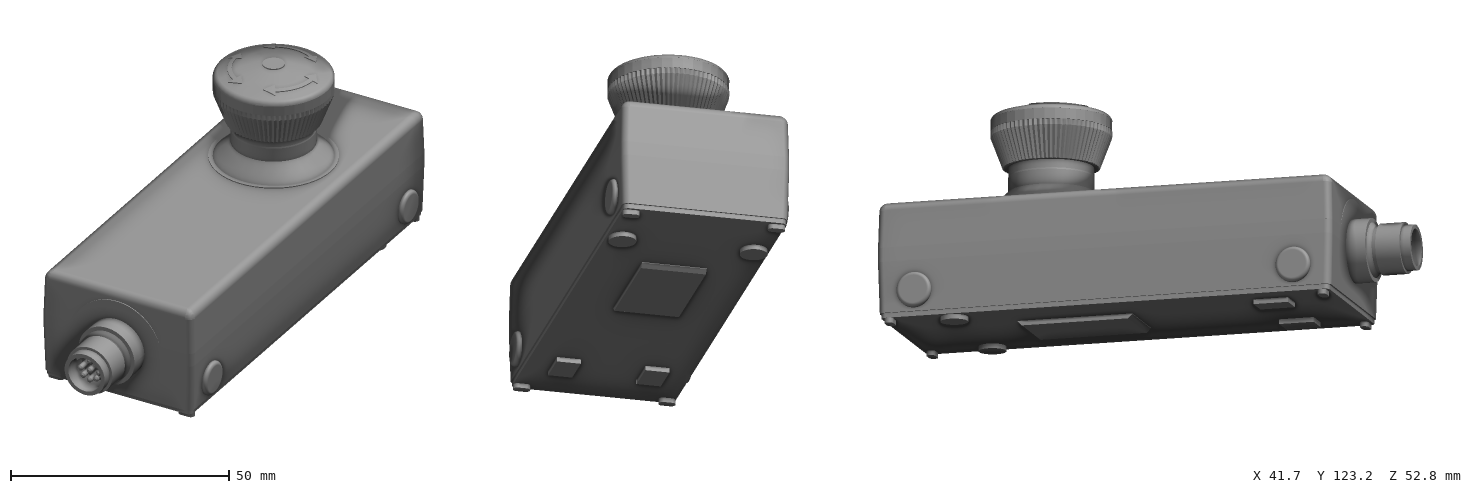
import cadquery as cq
import math

BODY_WIDTH = 39.8
BODY_BACK_Y = 61.6
BODY_FRONT_Y = -46.9
BODY_BOTTOM_Z = 2.2
LOWER_SEAM_Z = 14.2
UPPER_SEAM_Z = 17.5
BODY_TOP_Z = 28.3
DRAFT_ANGLE = 1.6
TOP_FILLET = 2.1
CORNER_FILLET = 1.6
FLAT_EDGE_LIMIT = 0.6
BODY_LENGTH = BODY_BACK_Y - BODY_FRONT_Y
BODY_CENTER_Y = (BODY_BACK_Y + BODY_FRONT_Y) / 2

ARCH_RADIUS = 12.0
ARCH_DEPTH = 2.5

PLATE_WIDTH = 38.4
PLATE_END_INSET = 0.7
PLATE_CORNER_RADIUS = 1.2
PLATE_BOTTOM_Z = 1.1
CORNER_FOOT_LENGTH = 4.1
CORNER_FOOT_WIDTH = 2.1
CORNER_FOOT_END_GAP = 1.5
ROUND_FOOT_DIAMETER = 6.4
ROUND_FOOT_X = 15.5
ROUND_FOOT_Y = 44.2
BLOCK_FOOT_LENGTH = 8.3
BLOCK_FOOT_WIDTH = 5.7
BLOCK_FOOT_X = 10.5
BLOCK_FOOT_Y = -30.7
PAD_WIDTH = 15.3
PAD_LENGTH = 27.3
PAD_Y = 17.7
PAD_CHAMFER = 1.0

PLUG_DIAMETER = 8.3
PLUG_FACE_DIAMETER = 6.5
PLUG_SPAN = 41.7
PLUG_Y = (52.6, -37.9)
PLUG_Z = 7.1

BUTTON_Y = 25.6
WASHER_DIAMETER = 30.0
WASHER_TOP_Z = 28.6
COLLAR_BASE_DIAMETER = 28.0
COLLAR_DIAMETER = 19.8
COLLAR_CONE_TOP_Z = 32.5
COLLAR_STEP_Z = 36.0
COLLAR_STEP_HEIGHT = 0.4
STEM_DIAMETER = 19.7
KNOB_DIAMETER = 28.0
KNOB_BOTTOM_DIAMETER = 22.4
KNOB_BOTTOM_Z = 38.3
KNURL_BREAK_Z = 45.6
FACET_BOTTOM_Z = 46.9
FACET_TOP_Z = 49.4
FACET_COUNT = 36
KNURL_COUNT = 2 * FACET_COUNT
KNURL_DEPTH = 0.4
DOME_EDGE_DIAMETER = 26.0
DOME_EDGE_Z = 50.5
RIM_BULGE = 0.63
DOME_TOP_Z = 52.6
CAP_DIAMETER = 5.2
CAP_TOP_Z = 52.8

ARROW_COUNT = 3
ARROW_HEIGHT = 0.2
ARROW_RADIUS = 10.1
ARROW_SHAFT_WIDTH = 1.0
ARROW_HEAD_WIDTH = 3.5
ARROW_SHAFT_HALF_ANGLE = 28.0
ARROW_TIP_HALF_ANGLE = 44.0

CONNECTOR_Z = 14.0
CONNECTOR_TIP_Y = -61.6
FLANGE_DIAMETER = 14.8
FLANGE_END_Y = -51.5
NECK_DIAMETER = 10.8
NECK_CONE_DIAMETER = 12.8
NECK_CONE_LENGTH = 1.0
NECK_END_Y = -53.5
BARREL_DIAMETER = 12.0
BARREL_END_Y = -59.2
TIP_DIAMETER = 10.6
BORE_DIAMETER = 8.6
BORE_DEPTH = 6.2
PIN_DIAMETER = 1.4
PIN_LENGTH = 4.3
PIN_CHAMFER = 0.4
PIN_CIRCLE_RADIUS = 2.5
PIN_POSITIONS = 8
KEY_POSITION = 3
KEY_WIDTH = 1.2
KEY_HEIGHT = 0.7


def body_section(start_z, end_z, taper):
    """Block with the full housing outline at start_z, narrowing towards end_z."""
    return (
        cq.Workplane("XY", origin=(0, BODY_CENTER_Y, start_z))
        .rect(BODY_WIDTH, BODY_LENGTH)
        .extrude(end_z - start_z, taper=taper)
    )


def round_corners(section):
    """Round every edge of a housing section that does not lie flat."""
    upright_edges = [edge for edge in section.edges().vals() if edge.BoundingBox().zlen > FLAT_EDGE_LIMIT]
    return section.newObject(upright_edges).fillet(CORNER_FILLET)


def make_body():
    """Drafted housing: a straight band between the two seams, tapering above and below it."""
    lower = round_corners(body_section(LOWER_SEAM_Z, BODY_BOTTOM_Z, DRAFT_ANGLE))
    band = round_corners(body_section(LOWER_SEAM_Z, UPPER_SEAM_Z, 0))
    upper = body_section(UPPER_SEAM_Z, BODY_TOP_Z, DRAFT_ANGLE).faces(">Z").edges().fillet(TOP_FILLET)
    return lower.union(band).union(round_corners(upper))


def make_arch():
    """Upright arch above the upper seam, standing proud of the drafted front face."""
    arch_back_y = BODY_FRONT_Y + ARCH_DEPTH
    disc = cq.Workplane("XZ", origin=(0, arch_back_y, LOWER_SEAM_Z)).circle(ARCH_RADIUS).extrude(ARCH_DEPTH)
    above_seam = (
        cq.Workplane("XY", origin=(0, BODY_CENTER_Y, UPPER_SEAM_Z))
        .rect(BODY_WIDTH, BODY_LENGTH)
        .extrude(ARCH_RADIUS)
    )
    return disc.intersect(above_seam)


def make_base():
    """Base plate with corner feet, round feet, block feet and a long centre pad."""
    plate_length = BODY_LENGTH - 2 * PLATE_END_INSET
    plate = (
        cq.Workplane("XY", origin=(0, BODY_CENTER_Y, PLATE_BOTTOM_Z))
        .rect(PLATE_WIDTH, plate_length)
        .extrude(BODY_BOTTOM_Z - PLATE_BOTTOM_Z)
        .edges("|Z")
        .fillet(PLATE_CORNER_RADIUS)
    )
    corner_feet = (
        cq.Workplane("XY", origin=(0, BODY_CENTER_Y, 0))
        .rect(
            PLATE_WIDTH - CORNER_FOOT_LENGTH,
            BODY_LENGTH - 2 * CORNER_FOOT_END_GAP - CORNER_FOOT_WIDTH,
            forConstruction=True,
        )
        .vertices()
        .slot2D(CORNER_FOOT_LENGTH, CORNER_FOOT_WIDTH)
        .extrude(PLATE_BOTTOM_Z)
    )
    round_feet = (
        cq.Workplane("XY")
        .pushPoints([(-ROUND_FOOT_X, ROUND_FOOT_Y), (ROUND_FOOT_X, ROUND_FOOT_Y)])
        .circle(ROUND_FOOT_DIAMETER / 2)
        .extrude(PLATE_BOTTOM_Z)
    )
    block_feet = (
        cq.Workplane("XY")
        .pushPoints([(-BLOCK_FOOT_X, BLOCK_FOOT_Y), (BLOCK_FOOT_X, BLOCK_FOOT_Y)])
        .rect(BLOCK_FOOT_WIDTH, BLOCK_FOOT_LENGTH)
        .extrude(PLATE_BOTTOM_Z)
    )
    pad = (
        cq.Workplane("XY", origin=(0, PAD_Y, 0))
        .rect(PAD_WIDTH, PAD_LENGTH)
        .extrude(PLATE_BOTTOM_Z)
        .faces("<Z")
        .edges("|X")
        .chamfer(PAD_CHAMFER)
    )
    return plate.union(corner_feet).union(round_feet).union(block_feet).union(pad)


def make_plugs():
    """Rods across the housing whose rounded ends show as plugs on both long sides."""
    rods = (
        cq.Workplane("YZ", origin=(-PLUG_SPAN / 2, 0, 0))
        .pushPoints([(y, PLUG_Z) for y in PLUG_Y])
        .circle(PLUG_DIAMETER / 2)
        .extrude(PLUG_SPAN)
    )
    return rods.edges().fillet((PLUG_DIAMETER - PLUG_FACE_DIAMETER) / 2)


def make_collar():
    """Washer, conical collar and stem below the knob."""
    washer_root_z = BODY_TOP_Z - TOP_FILLET
    profile = [
        (0, washer_root_z),
        (WASHER_DIAMETER / 2, washer_root_z),
        (WASHER_DIAMETER / 2, WASHER_TOP_Z),
        (COLLAR_BASE_DIAMETER / 2, WASHER_TOP_Z),
        (COLLAR_DIAMETER / 2, COLLAR_CONE_TOP_Z),
        (COLLAR_DIAMETER / 2, COLLAR_STEP_Z),
        (STEM_DIAMETER / 2, COLLAR_STEP_Z + COLLAR_STEP_HEIGHT),
        (STEM_DIAMETER / 2, KNOB_BOTTOM_Z),
        (0, KNOB_BOTTOM_Z),
    ]
    return cq.Workplane("XZ", origin=(0, BUTTON_Y, 0)).polyline(profile).close().revolve()


def knurl_outline(diameter):
    """Star-shaped outline with one shallow V groove per knurl."""
    points = []
    for i in range(2 * KNURL_COUNT):
        radius = diameter / 2 - KNURL_DEPTH * (i % 2)
        angle = math.pi * i / KNURL_COUNT
        points.append((radius * math.cos(angle), radius * math.sin(angle)))
    return points


def make_knob():
    """Knurled conical grip, faceted band, domed top, centre cap and arrows."""
    grip = (
        cq.Workplane("XY", origin=(0, BUTTON_Y, KNOB_BOTTOM_Z))
        .polyline(knurl_outline(KNOB_BOTTOM_DIAMETER))
        .close()
        .workplane(offset=KNURL_BREAK_Z - KNOB_BOTTOM_Z)
        .polyline(knurl_outline(KNOB_DIAMETER))
        .close()
        .loft(ruled=True)
    )
    grip_rim = (
        cq.Workplane("XY", origin=(0, BUTTON_Y, KNURL_BREAK_Z))
        .polyline(knurl_outline(KNOB_DIAMETER))
        .close()
        .extrude(FACET_BOTTOM_Z - KNURL_BREAK_Z)
    )
    facets = (
        cq.Workplane("XY", origin=(0, BUTTON_Y, FACET_BOTTOM_Z))
        .polygon(FACET_COUNT, KNOB_DIAMETER)
        .extrude(FACET_TOP_Z - FACET_BOTTOM_Z)
    )
    cap = (
        cq.Workplane("XY", origin=(0, BUTTON_Y, FACET_TOP_Z))
        .circle(CAP_DIAMETER / 2)
        .extrude(CAP_TOP_Z - FACET_TOP_Z)
    )
    return grip.union(grip_rim).union(facets).union(make_dome(0)).union(cap).union(make_arrows())


def make_dome(lift):
    """Rounded rim and domed top of the knob, raised by the given lift."""
    edge_radius = DOME_EDGE_DIAMETER / 2
    dome_rise = DOME_TOP_Z - DOME_EDGE_Z
    sphere_radius = (edge_radius**2 + dome_rise**2) / (2 * dome_rise)
    rim_mid_radius = edge_radius + (KNOB_DIAMETER / 2 - edge_radius) * RIM_BULGE
    rim_mid_z = FACET_TOP_Z + (DOME_EDGE_Z - FACET_TOP_Z) * RIM_BULGE
    mid_z = DOME_TOP_Z - sphere_radius + math.sqrt(sphere_radius**2 - (edge_radius / 2) ** 2)
    return (
        cq.Workplane("XZ", origin=(0, BUTTON_Y, lift))
        .moveTo(0, FACET_TOP_Z)
        .lineTo(KNOB_DIAMETER / 2, FACET_TOP_Z)
        .threePointArc((rim_mid_radius, rim_mid_z), (edge_radius, DOME_EDGE_Z))
        .threePointArc((edge_radius / 2, mid_z), (0, DOME_TOP_Z))
        .close()
        .revolve()
    )


def polar(radius, degrees):
    """Point at the given radius and angle."""
    angle = math.radians(degrees)
    return (radius * math.cos(angle), radius * math.sin(angle))


def make_arrows():
    """Double-headed arrows spaced evenly around the dome, following its curve."""
    inner = ARROW_RADIUS - ARROW_SHAFT_WIDTH / 2
    outer = ARROW_RADIUS + ARROW_SHAFT_WIDTH / 2
    head_inner = ARROW_RADIUS - ARROW_HEAD_WIDTH / 2
    head_outer = ARROW_RADIUS + ARROW_HEAD_WIDTH / 2
    arrows = cq.Workplane("XY")
    for i in range(ARROW_COUNT):
        middle = 90 + i * 360 / ARROW_COUNT
        start = middle - ARROW_SHAFT_HALF_ANGLE
        end = middle + ARROW_SHAFT_HALF_ANGLE
        arrow = (
            cq.Workplane("XY", origin=(0, BUTTON_Y, FACET_TOP_Z))
            .moveTo(*polar(outer, start))
            .threePointArc(polar(outer, middle), polar(outer, end))
            .lineTo(*polar(head_outer, end))
            .lineTo(*polar(ARROW_RADIUS, middle + ARROW_TIP_HALF_ANGLE))
            .lineTo(*polar(head_inner, end))
            .lineTo(*polar(inner, end))
            .threePointArc(polar(inner, middle), polar(inner, start))
            .lineTo(*polar(head_inner, start))
            .lineTo(*polar(ARROW_RADIUS, middle - ARROW_TIP_HALF_ANGLE))
            .lineTo(*polar(head_outer, start))
            .close()
            .extrude(CAP_TOP_Z - FACET_TOP_Z)
        )
        arrows = arrows.union(arrow)
    return arrows.intersect(make_dome(ARROW_HEIGHT))


def connector_cylinder(diameter, start_y, end_y):
    """Cylinder on the connector axis running from start_y towards -Y."""
    return (
        cq.Workplane("XZ", origin=(0, start_y, CONNECTOR_Z))
        .circle(diameter / 2)
        .extrude(start_y - end_y)
    )


def make_connector():
    """Stepped round connector with a bore that holds a ring of pins, a centre pin and a key."""
    root_y = BODY_FRONT_Y + ARCH_DEPTH
    floor_y = CONNECTOR_TIP_Y + BORE_DEPTH
    neck_cone = (
        cq.Workplane("XZ", origin=(0, FLANGE_END_Y, CONNECTOR_Z))
        .circle(NECK_CONE_DIAMETER / 2)
        .workplane(offset=NECK_CONE_LENGTH)
        .circle(NECK_DIAMETER / 2)
        .loft()
    )
    shell = (
        connector_cylinder(FLANGE_DIAMETER, root_y, FLANGE_END_Y)
        .union(connector_cylinder(NECK_DIAMETER, root_y, NECK_END_Y))
        .union(neck_cone)
        .union(connector_cylinder(BARREL_DIAMETER, NECK_END_Y, BARREL_END_Y))
        .union(connector_cylinder(TIP_DIAMETER, BARREL_END_Y, CONNECTOR_TIP_Y))
        .cut(connector_cylinder(BORE_DIAMETER, floor_y, CONNECTOR_TIP_Y))
    )
    key_angle = KEY_POSITION * 360 / PIN_POSITIONS
    pin_points = [(0, 0)]
    for i in range(PIN_POSITIONS):
        if i != KEY_POSITION:
            pin_points.append(polar(PIN_CIRCLE_RADIUS, i * 360 / PIN_POSITIONS))
    pins = (
        cq.Workplane("XZ", origin=(0, floor_y, CONNECTOR_Z))
        .pushPoints(pin_points)
        .circle(PIN_DIAMETER / 2)
        .extrude(PIN_LENGTH)
        .faces("<Y")
        .chamfer(PIN_CHAMFER)
    )
    wall_radius = (BORE_DIAMETER + TIP_DIAMETER) / 4
    key = (
        cq.Workplane("XZ", origin=(0, floor_y, CONNECTOR_Z))
        .transformed(rotate=(0, 0, key_angle))
        .center((BORE_DIAMETER / 2 - KEY_HEIGHT + wall_radius) / 2, 0)
        .rect(wall_radius - BORE_DIAMETER / 2 + KEY_HEIGHT, KEY_WIDTH)
        .extrude(PIN_LENGTH)
    )
    return shell.union(pins).union(key)


result = (
    make_body()
    .union(make_arch())
    .union(make_base())
    .union(make_plugs())
    .union(make_collar())
    .union(make_knob())
    .union(make_connector())
)